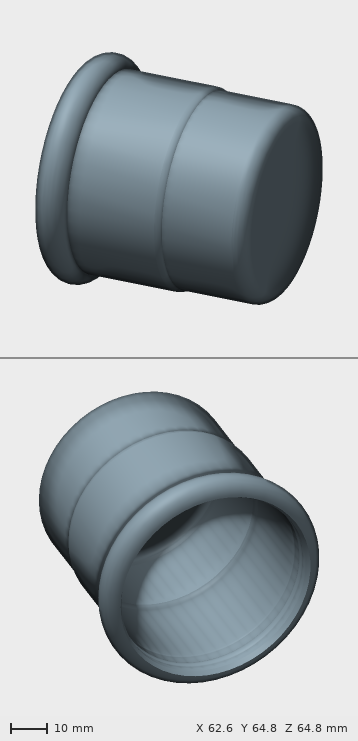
import cadquery as cq
import math

length = 62.6
shoulder_start = 35.7

bead_radius = 64.8 / 2
bead_section_radius = 4.95
body_radius = 57.5 / 2
tail_radius = 56.0 / 2
tail_corner_radius = 4.0
shoulder_radius = 3.0

rim_radius = 56.3 / 2
lip_radius = 54.7 / 2
socket_radius = 54.5 / 2
tail_bore_radius = 53.0 / 2
seat_radius = 52.0 / 2
bore_shoulder_start = 35.5
bore_shoulder_radius = 2.5

lead_in_length = 1.5
ridge_start = 3.8
ridge_width = 2.4
ridge_height = 0.25
lip_end = 9.2
lip_step_length = 0.65

end_wall = 1.5
floor_fillet_radius = 2.0
seat_cone_length = 0.95


def half_chord(radius, offset):
    """Half the length of a chord lying `offset` away from the centre of a circle."""
    return math.sqrt(radius**2 - offset**2)


def tangent_arc(profile, start_x, start_r, end_r, radius):
    """Arc that leaves a cylinder tangentially at start_x and drops from start_r to end_r along +X."""
    center_r = start_r - radius
    end_angle = math.asin((end_r - center_r) / radius)
    mid_angle = (math.pi / 2 + end_angle) / 2
    middle = (start_x + radius * math.cos(mid_angle), center_r + radius * math.sin(mid_angle))
    end = (start_x + radius * math.cos(end_angle), end_r)
    return profile.threePointArc(middle, end)


def outer_body():
    """Solid outer shape: rim bead, body, shoulder and tail with a rounded closed end."""
    bead_center_r = bead_radius - bead_section_radius
    bead_center_x = half_chord(bead_section_radius, rim_radius - bead_center_r)
    bead_end = bead_center_x + half_chord(bead_section_radius, body_radius - bead_center_r)
    corner_start = length - tail_corner_radius

    profile = (
        cq.Workplane("XY")
        .lineTo(0, rim_radius)
        .threePointArc((bead_center_x, bead_radius), (bead_end, body_radius))
        .lineTo(shoulder_start, body_radius)
    )
    profile = tangent_arc(profile, shoulder_start, body_radius, tail_radius, shoulder_radius)
    profile = profile.lineTo(corner_start, tail_radius)
    profile = tangent_arc(
        profile, corner_start, tail_radius, tail_radius - tail_corner_radius, tail_corner_radius
    )
    return profile.lineTo(length, 0).close().revolve(360, (0, 0, 0), (1, 0, 0))


def bore():
    """Stepped blind bore: lead-in cone, ridge, socket, shoulder and filleted floor."""
    floor_x = length - end_wall
    fillet_start = floor_x - floor_fillet_radius
    ridge_middle = (ridge_start + ridge_width / 2, lip_radius - ridge_height)
    ridge_end = ridge_start + ridge_width

    lip_step = lip_radius - socket_radius
    socket_start = lip_end + lip_step_length
    lip_arc_radius = (lip_step**2 + lip_step_length**2) / (2 * lip_step)

    profile = (
        cq.Workplane("XY")
        .lineTo(0, rim_radius)
        .lineTo(lead_in_length, lip_radius)
        .lineTo(ridge_start, lip_radius)
        .threePointArc(ridge_middle, (ridge_end, lip_radius))
        .lineTo(lip_end, lip_radius)
        .radiusArc((socket_start, socket_radius), -lip_arc_radius)
        .lineTo(bore_shoulder_start, socket_radius)
    )
    profile = tangent_arc(
        profile, bore_shoulder_start, socket_radius, tail_bore_radius, bore_shoulder_radius
    )
    profile = (
        profile
        .lineTo(fillet_start - seat_cone_length, tail_bore_radius)
        .lineTo(fillet_start, seat_radius)
    )
    profile = tangent_arc(
        profile, fillet_start, seat_radius, seat_radius - floor_fillet_radius, floor_fillet_radius
    )
    return profile.lineTo(floor_x, 0).close().revolve(360, (0, 0, 0), (1, 0, 0))


result = outer_body().cut(bore())